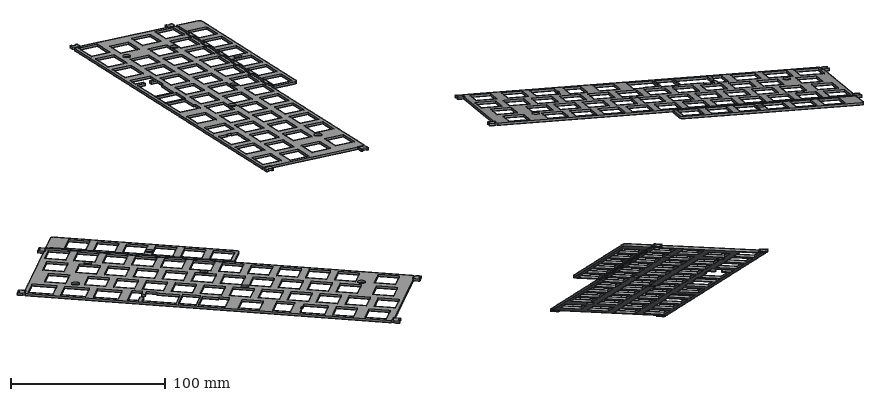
import cadquery as cq


overall_length = 251.2
overall_depth = 95.2
thickness = 1.6

row_count = 5
main_row_count = 4
main_columns = 12.75
function_columns = 6.5
pitch = overall_depth / row_count
hole_diameter = 5
hole_land = 0.013
web_width = hole_diameter + 2 * hole_land
cutout_size = pitch - web_width

main_length = main_columns * pitch
left_edge = -main_length / 2
right_edge = main_length / 2
bottom_edge = -overall_depth / 2
main_top = bottom_edge + main_row_count * pitch
function_corner_radius = 2.0

function_key_columns = range(1, 7)

main_rows = [
    [1] * 11 + [1.75],
    [1.25] + [1] * 10 + [1.5],
    [1.75] + [1] * 11,
]
function_row = -1

bottom_row = main_row_count - 1
bottom_layouts = [
    [1.25, 1, 1, 6.25, 1, 1, 1.25],
    [1.25, 1, 1, 3, 3, 1.25, 1, 1.25],
    [1, 1.25, 1.25, 2.75, 3, 1.25, 1, 1.25],
]

stabilizer_columns = [3.75, 4.25, 5.5, 5.75, 6.75, 8.75, 9]
stabilizer_width = 7.0
stabilizer_rise = 8.3
stabilizer_drop = cutout_size / 2
channel_height = 4.5
clip_offset = 1.3
channel_columns = (3.75, 4.25)
clip_notch_column = 9.875
clip_notch_reach = 0.8
clip_notch_height = 3.0

mounting_holes = [
    (3.5 * pitch, -8.0),
    (31.5, pitch),
    (107.8, pitch),
    (138.2, 2 * pitch),
    (30.0, 53.8),
    (210.8, 16.5),
]

gap_width = 1.5
gap_end_inset = 3.3
relief_radius = 1.0
corner_relief_inset = 0.3
bridge_columns = range(1, 7)
slit_width = 0.5
slit_length = 2.8

bite_diameter = 0.5
bite_spacing = 0.8
bite_inset = 0.5
bridge_bite_count = 7
tab_bite_count = 5

tab_height = 5.3
tab_chamfer = 0.38
tab_horn = 1.3
tab_scoop_depth = 1.0


def block(x_min, x_max, y_min, y_max):
    """Full-thickness rectangular block between the given limits."""
    return (
        cq.Workplane("XY")
        .center((x_min + x_max) / 2, (y_min + y_max) / 2)
        .rect(x_max - x_min, y_max - y_min)
        .extrude(thickness)
    )


def pins(points, diameter):
    """Full-thickness round cutters at the given points."""
    return cq.Workplane("XY").pushPoints(points).circle(diameter / 2).extrude(thickness)


def column_x(column):
    return left_edge + column * pitch


def row_y(row):
    """Centreline of a row; the top row of the main panel is row 0."""
    return main_top - (row + 0.5) * pitch


def key_centres(widths, row):
    """Centres of keys of the given widths laid side by side from the left edge."""
    return [
        (column_x(sum(widths[:index]) + width / 2), row_y(row))
        for index, width in enumerate(widths)
    ]


def switch_openings(centres):
    return cq.Workplane("XY").pushPoints(centres).rect(cutout_size, cutout_size).extrude(thickness)


def make_panels():
    main = block(left_edge, right_edge, bottom_edge, main_top)
    function = block(left_edge, column_x(function_columns), main_top, overall_depth / 2)
    function = function.edges("|Z and >Y").fillet(function_corner_radius)
    return main.union(function)


def make_tab(side, end):
    """Corner tab with a scooped outer side; side and end are -1 or 1 along X and Y."""
    root = side * main_length / 2
    outer = side * overall_length / 2
    flush = main_top if end > 0 else bottom_edge
    inner = flush - end * tab_height
    scoop_start = flush - end * tab_horn
    scoop_end = inner + end * tab_horn
    scoop_middle = (scoop_start + scoop_end) / 2
    return (
        cq.Workplane("XY")
        .moveTo(root, flush)
        .lineTo(outer, flush)
        .lineTo(outer, scoop_start)
        .threePointArc((outer - side * tab_scoop_depth, scoop_middle), (outer, scoop_end))
        .lineTo(outer, inner + end * tab_chamfer)
        .lineTo(outer - side * tab_chamfer, inner)
        .lineTo(root, inner)
        .close()
        .extrude(thickness)
    )


def tab_perforations(side, end):
    """Relief hole near the panel corner and a line of bites just inside the panel edge."""
    corner_x = side * main_length / 2
    corner_y = main_top if end > 0 else bottom_edge
    bites = [
        (corner_x - side * bite_inset, corner_y - end * (2 * relief_radius + index * bite_spacing))
        for index in range(tab_bite_count)
    ]
    corner_relief = pins([(corner_x - side * corner_relief_inset, corner_y)], 2 * relief_radius)
    return corner_relief.union(pins(bites, bite_diameter))


def relief(x):
    """Round relief on the top edge of the main panel."""
    return pins([(x, main_top)], 2 * relief_radius)


def gap_cut(start, end, width=gap_width):
    """Straight stretch of gap just above the main panel."""
    return block(start, end, main_top, main_top + width)


def make_gap():
    """Gap between the panels: a slit at the left end, then wider between the bridges."""
    start = left_edge + slit_length
    gap = gap_cut(left_edge, start, slit_width)
    for column in bridge_columns:
        end = column_x(column) - gap_end_inset
        gap = gap.union(gap_cut(start, end)).union(relief(end))
        start = column_x(column) + gap_end_inset
        gap = gap.union(relief(start))
    return gap.union(gap_cut(start, column_x(function_columns)))


def bridge_bites():
    half_span = (bridge_bite_count - 1) * bite_spacing / 2
    points = [
        (column_x(column) - half_span + index * bite_spacing, main_top - bite_inset)
        for column in bridge_columns
        for index in range(bridge_bite_count)
    ]
    return pins(points, bite_diameter)


def stabilizer_openings():
    centre = row_y(bottom_row)
    openings = cq.Workplane("XY")
    for column in stabilizer_columns:
        x = column_x(column)
        openings = openings.union(
            block(
                x - stabilizer_width / 2,
                x + stabilizer_width / 2,
                centre - stabilizer_drop,
                centre + stabilizer_rise,
            )
        )
    clip_y = centre + clip_offset
    channel = block(
        column_x(channel_columns[0]),
        column_x(channel_columns[1]),
        clip_y - channel_height / 2,
        clip_y + channel_height / 2,
    )
    notch_x = column_x(clip_notch_column)
    notch = block(
        notch_x - cutout_size / 2 - clip_notch_reach,
        notch_x,
        clip_y - clip_notch_height / 2,
        clip_y + clip_notch_height / 2,
    )
    return openings.union(channel).union(notch)


plate = make_panels()
corners = [(side, end) for side in (-1, 1) for end in (-1, 1)]
for side, end in corners:
    plate = plate.union(make_tab(side, end))

function_centres = [(column_x(column), row_y(function_row)) for column in function_key_columns]
plate = plate.cut(switch_openings(function_centres))
for row, widths in enumerate(main_rows):
    plate = plate.cut(switch_openings(key_centres(widths, row)))
for widths in bottom_layouts:
    plate = plate.cut(switch_openings(key_centres(widths, bottom_row)))
plate = plate.cut(stabilizer_openings())

hole_points = [(left_edge + right, main_top - down) for right, down in mounting_holes]
plate = plate.cut(pins(hole_points, hole_diameter))

plate = plate.cut(make_gap())
plate = plate.cut(bridge_bites())
for side, end in corners:
    plate = plate.cut(tab_perforations(side, end))

result = plate